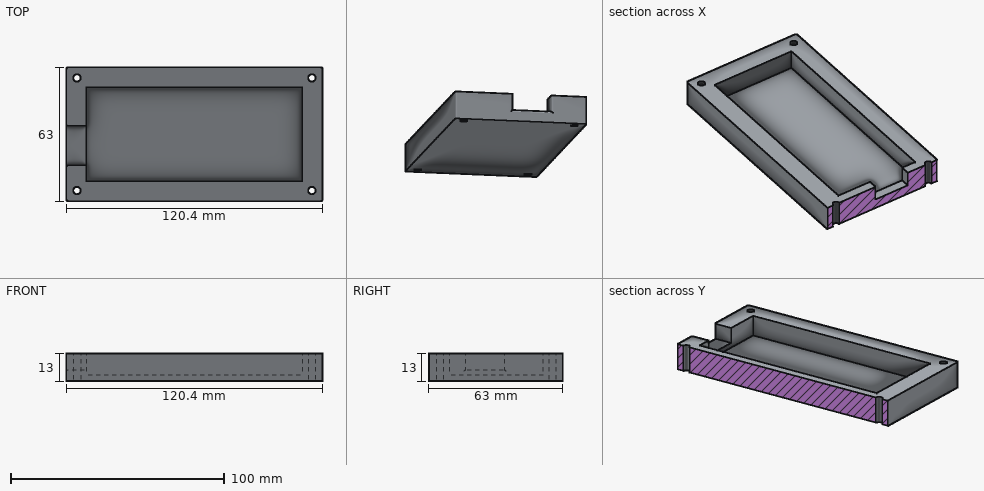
import cadquery as cq

LENGTH = 120.4
WIDTH = 63.0
HEIGHT = 13.0
CORNER_RADIUS = 1.0

WALL = 9.5
FLOOR = 3.0

HOLE_DIAMETER = 3.4
HOLE_INSET = 5.0

NOTCH_WIDTH = 18.4
NOTCH_CENTER_Y = -5.3
NOTCH_FLOOR = 5.4
NOTCH_EDGE_RADIUS = 1.0

SELECTION_MARGIN = 0.6


def make_block():
    block = cq.Workplane("XY").box(LENGTH, WIDTH, HEIGHT, centered=(True, True, False))
    return block.edges("|Z").fillet(CORNER_RADIUS)


def cut_notch(body):
    """Cut the notch before the pocket, so that only its outer mouth is rounded."""
    outer_x = -LENGTH / 2
    notch = (
        cq.Workplane("XY", origin=(outer_x, NOTCH_CENTER_Y, NOTCH_FLOOR))
        .box(WALL, NOTCH_WIDTH, HEIGHT - NOTCH_FLOOR, centered=(False, True, False))
    )
    body = body.cut(notch)
    reach = NOTCH_WIDTH / 2 + SELECTION_MARGIN
    mouth_low = (outer_x - SELECTION_MARGIN, NOTCH_CENTER_Y - reach, NOTCH_FLOOR - SELECTION_MARGIN)
    mouth_high = (outer_x + SELECTION_MARGIN, NOTCH_CENTER_Y + reach, HEIGHT - SELECTION_MARGIN)
    mouth_edges = cq.selectors.BoxSelector(mouth_low, mouth_high)
    return body.edges(mouth_edges).fillet(NOTCH_EDGE_RADIUS)


def cut_pocket(body):
    pocket = (
        cq.Workplane("XY", origin=(0, 0, FLOOR))
        .box(LENGTH - 2 * WALL, WIDTH - 2 * WALL, HEIGHT - FLOOR, centered=(True, True, False))
    )
    return body.cut(pocket)


def cut_corner_holes(body):
    holes = (
        cq.Workplane("XY")
        .rect(LENGTH - 2 * HOLE_INSET, WIDTH - 2 * HOLE_INSET, forConstruction=True)
        .vertices()
        .circle(HOLE_DIAMETER / 2)
        .extrude(HEIGHT)
    )
    return body.cut(holes)


result = cut_corner_holes(cut_pocket(cut_notch(make_block())))